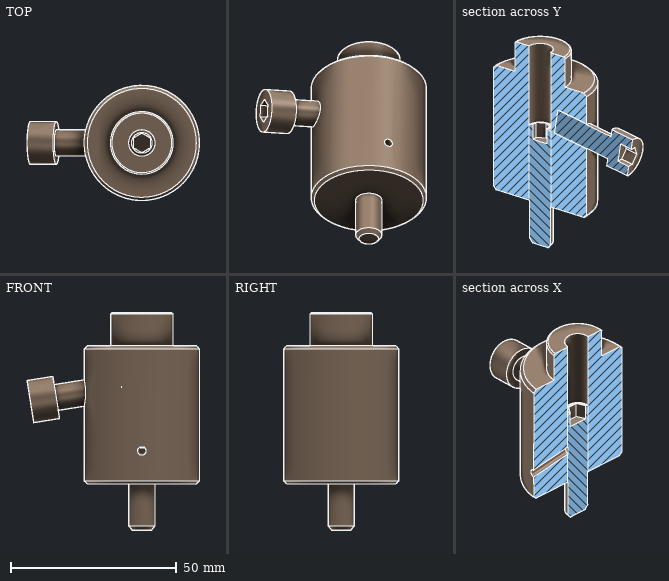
import cadquery as cq
import math


barrel_diameter = 35.0
barrel_height = 42.0
barrel_chamfer = 1.0
boss_diameter = 19.0
boss_height = 10.0
boss_chamfer = 0.45
tilt = 9.0

side_hole_diameter = 2.5
side_hole_height = 10.0

set_screw_diameter = 8.0
set_screw_length = 40.0
set_screw_projection = 14.0
tip_chamfer_height = 1.4
tip_chamfer_inset = 1.05
top_chamfer_height = 0.45
top_chamfer_inset = 0.85
set_socket_flats = 5.15
set_socket_depth = 5.0

cap_head_diameter = 13.0
cap_head_length = 8.0
cap_shank_diameter = 8.0
cap_shank_length = 20.0
cap_socket_flats = 5.95
cap_socket_depth = 4.0
cap_face_x = -33.8
cap_face_height = 25.0


def across_corners(flats):
    return flats / math.cos(math.pi / 6)


def inward_plane(origin, x_direction, horizontal):
    """Plane whose normal points along a horizontal direction raised by the tilt angle."""
    slope = math.radians(tilt)
    normal = (
        horizontal[0] * math.cos(slope),
        horizontal[1] * math.cos(slope),
        math.sin(slope),
    )
    return cq.Plane(origin=origin, xDir=x_direction, normal=normal)


cap_face = inward_plane((cap_face_x, 0, cap_face_height), (0, 1, 0), (1, 0))
side_hole_mouth = inward_plane((0, -barrel_diameter / 2, side_hole_height), (1, 0, 0), (0, 1))


def make_cap_shank():
    return (
        cq.Workplane(cap_face)
        .workplane(offset=cap_head_length)
        .circle(cap_shank_diameter / 2)
        .extrude(cap_shank_length)
    )


def make_cap_screw():
    head = cq.Workplane(cap_face).circle(cap_head_diameter / 2).extrude(cap_head_length)
    socket = (
        cq.Workplane(cap_face)
        .polygon(6, across_corners(cap_socket_flats))
        .extrude(cap_socket_depth)
    )
    return head.union(make_cap_shank()).cut(socket)


def make_set_screw():
    radius = set_screw_diameter / 2
    bottom = -set_screw_projection
    top = bottom + set_screw_length
    shank = (
        cq.Workplane("XZ")
        .moveTo(0, bottom)
        .lineTo(radius - tip_chamfer_inset, bottom)
        .lineTo(radius, bottom + tip_chamfer_height)
        .lineTo(radius, top - top_chamfer_height)
        .lineTo(radius - top_chamfer_inset, top)
        .lineTo(0, top)
        .close()
        .revolve(360, (0, 0, 0), (0, 1, 0))
    )
    socket = (
        cq.Workplane("XY", origin=(0, 0, top))
        .transformed(rotate=(0, 0, 90))
        .polygon(6, across_corners(set_socket_flats))
        .extrude(-set_socket_depth)
    )
    return shank.cut(socket)


def make_side_hole():
    depth = barrel_diameter / 2 / math.cos(math.radians(tilt))
    lead_in = side_hole_diameter
    return (
        cq.Workplane(side_hole_mouth)
        .workplane(offset=-lead_in)
        .circle(side_hole_diameter / 2)
        .extrude(lead_in + depth)
    )


def make_housing():
    barrel = (
        cq.Workplane("XY")
        .circle(barrel_diameter / 2)
        .extrude(barrel_height)
        .edges("%CIRCLE")
        .chamfer(barrel_chamfer)
    )
    boss = (
        cq.Workplane("XY", origin=(0, 0, barrel_height))
        .circle(boss_diameter / 2)
        .extrude(boss_height)
        .faces(">Z")
        .chamfer(boss_chamfer)
    )
    bore = cq.Workplane("XY").circle(set_screw_diameter / 2).extrude(barrel_height + boss_height)
    return barrel.union(boss).cut(bore).cut(make_side_hole()).cut(make_cap_shank())


housing = make_housing()
set_screw = make_set_screw()
cap_screw = make_cap_screw()

result = cq.Compound.makeCompound([housing.val(), set_screw.val(), cap_screw.val()])